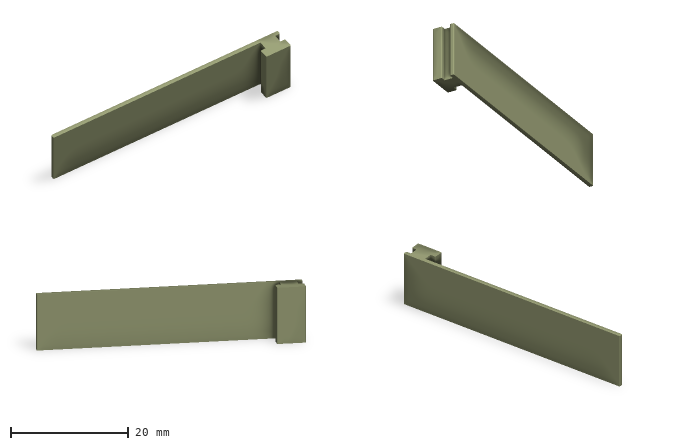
import cadquery as cq

length = 46.0
depth = 4.2
height = 10.0

plate_thickness = 0.8
head_thickness = 1.8
head_width = 5.0
end_slot_depth = 1.0
neck_width = 3.0

edge_radius = 0.2

plate_outer_x = -depth / 2
plate_inner_x = plate_outer_x + plate_thickness
head_outer_x = depth / 2
head_inner_x = head_outer_x - head_thickness
rail_end_y = length / 2
free_end_y = -length / 2
head_free_y = rail_end_y - head_width
neck_end_y = rail_end_y - end_slot_depth
neck_free_y = neck_end_y - neck_width


def block(x_min, x_max, y_min, y_max):
    """Full-height block between the given X and Y limits."""
    center = ((x_min + x_max) / 2, (y_min + y_max) / 2, 0)
    return cq.Workplane("XY").box(x_max - x_min, y_max - y_min, height).translate(center)


def rounded_block(x_min, x_max, y_min, y_max):
    """Full-height block with its four vertical edges rounded."""
    return block(x_min, x_max, y_min, y_max).edges("|Z").fillet(edge_radius)


plate = rounded_block(plate_outer_x, plate_inner_x, free_end_y, rail_end_y)
head = rounded_block(head_inner_x, head_outer_x, head_free_y, rail_end_y)
neck = block(plate_inner_x, head_inner_x, neck_free_y, neck_end_y)

result = plate.union(neck).union(head)